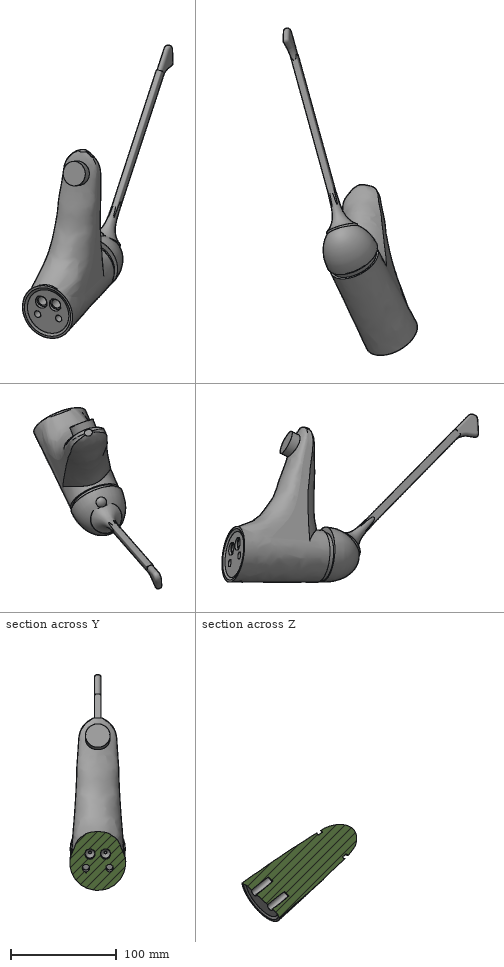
import cadquery as cq
import math


BASE_DIAMETER = 53.5
COLLAR_RADIUS = 25.0
COLLAR_Y = 89.0
COLLAR_Z = 11.7
HEAD_TILT = 3.5

NECK_RADIUS = 22.9
NECK_LENGTH = 7.5
NECK_OVERLAP = 2.5
CAP_CENTRE = (0, 93.7, 14.2)
CAP_RADIUS = 26.2
CAP_LENGTH = 35.0

BUTTON_RADIUS = 5.5
BUTTON_Y = 104.9
BUTTON_TOP = 42.0

LEVER_ORIGIN = (0, 140.2, 53.3)
LEVER_ANGLE = 49.0
LEVER_WIDTH = 7.5
LEVER_THICKNESS = 6.3
LEVER_START = -15.2
LEVER_ROUND = 1.0

HORN_ROOT = -48.2
HORN_FLARE = [(-33.3, 15.2), (-27.2, 9.1), (-19.8, 5.8), (-11.7, 4.5), (6.5, 3.3)]

PADDLE_START = 134.5
PADDLE_TIP = 175.2
PADDLE_HEEL = (153.0, -17.8)
PADDLE_THROAT = (139.7, -5.3)
PADDLE_SOLE = (145.0, -8.6)
PADDLE_TIP_ROUND = 5.5
PADDLE_HEEL_ROUND = 3.3
PADDLE_RIM_ROUND = 2.8

SPOUT_SECTIONS = [
    (10.2, -15.2, 28.0, 68.3, 86.3, 25.1),
    (25.5, -1.5, 39.9, 68.0, 85.8, 23.9),
    (38.0, 21.8, 49.5, 67.8, 84.3, 22.9),
    (50.8, 32.8, 55.4, 67.8, 82.5, 21.8),
    (63.5, 41.1, 58.7, 68.0, 82.3, 21.0),
    (81.3, 48.2, 61.7, 70.0, 82.5, 20.0),
    (101.5, 55.9, 65.0, 72.5, 82.5, 19.0),
    (119.3, 61.7, 68.5, 74.6, 82.0, 18.0),
    (128.2, 64.7, 70.0, 74.6, 81.5, 15.5),
    (135.0, 67.3, 71.3, 74.5, 79.2, 9.6),
    (138.6, 69.3, 72.0, 73.6, 76.2, 3.8),
]

REAR_SHOULDER_WIDTH = 0.6
REAR_SHOULDER_DEPTH = 0.65

OUTLET_CENTRE = (0, 54.8, 122.0)
OUTLET_RADIUS = 11.7
OUTLET_LENGTH = 12.7
OUTLET_TILT = 18.5

RECESS_RADIUS = 24.6
RECESS_FLOOR_RADIUS = 22.0
RECESS_DEPTH = 1.3
PORT_X = 7.4
PORT_Z = 8.0
PORT_RADIUS = 6.0
PORT_STEP_DEPTH = 3.8
PORT_BORE_RADIUS = 4.5
PORT_BORE_DEPTH = 16.5
PORT_TIP_RADIUS = 1.3
PORT_TIP_DEPTH = 22.9
STUD_X = 11.2
STUD_Z = -5.0
STUD_RADIUS = 3.3
STUD_DEPTH = 22.9

BODY_TILT = math.degrees(math.atan2(COLLAR_Z, COLLAR_Y))


def direction_at(degrees):
    """Unit vector in the plane x = 0, turned from +Y toward +Z."""
    angle = math.radians(degrees)
    return cq.Vector(0, math.cos(angle), math.sin(angle))


def cross_plane(origin, degrees):
    """Plane square to a direction that rises from +Y."""
    return cq.Plane(origin=origin, xDir=(1, 0, 0), normal=direction_at(degrees))


def side_plane(origin, degrees):
    """Plane x = const whose first axis rises from +Y and whose second axis points to the upper side."""
    return cq.Plane(origin=origin, xDir=direction_at(degrees), normal=(1, 0, 0))


LEVER_PLANE = side_plane(LEVER_ORIGIN, LEVER_ANGLE)


def make_body():
    base = cq.Wire.makeCircle(BASE_DIAMETER / 2, cq.Vector(0, 0, 0), direction_at(0))
    collar = cq.Wire.makeCircle(
        COLLAR_RADIUS, cq.Vector(0, COLLAR_Y, COLLAR_Z), direction_at(HEAD_TILT)
    )
    return cq.Workplane(cq.Solid.makeLoft([base, collar], True))


def make_neck():
    plane = cross_plane((0, COLLAR_Y, COLLAR_Z), HEAD_TILT)
    return (
        cq.Workplane(plane)
        .workplane(offset=-NECK_OVERLAP)
        .circle(NECK_RADIUS)
        .extrude(NECK_LENGTH + NECK_OVERLAP)
    )


def make_cap():
    """Half of an ellipsoid, flat toward the neck."""
    return (
        cq.Workplane(side_plane(CAP_CENTRE, HEAD_TILT))
        .ellipseArc(CAP_LENGTH, CAP_RADIUS, 0, 90, startAtCurrent=False)
        .lineTo(0, 0)
        .close()
        .revolve(360, (0, 0), (1, 0))
    )


def make_button():
    centre = (0, BUTTON_Y, BUTTON_TOP - BUTTON_RADIUS)
    return cq.Workplane("XY").sphere(BUTTON_RADIUS).translate(centre)


def make_horn():
    root_radius = HORN_FLARE[0][1]
    tip = HORN_FLARE[-1][0]
    return (
        cq.Workplane(LEVER_PLANE)
        .moveTo(HORN_ROOT, 0)
        .lineTo(HORN_ROOT, root_radius)
        .lineTo(*HORN_FLARE[0])
        .spline(HORN_FLARE[1:], includeCurrent=True)
        .lineTo(tip, 0)
        .close()
        .revolve(360, (0, 0), (1, 0))
    )


def make_lever():
    overlap = 5.0
    length = PADDLE_START + overlap - LEVER_START
    along_lever = cq.selectors.ParallelDirSelector(direction_at(LEVER_ANGLE))
    return (
        cq.Workplane(LEVER_PLANE)
        .center(LEVER_START + length / 2, 0)
        .rect(length, LEVER_WIDTH)
        .extrude(LEVER_THICKNESS / 2, both=True)
        .edges(along_lever)
        .fillet(LEVER_ROUND)
    )


def round_corner(solid, corner, radius):
    """Round the edge along X nearest to a point given in the lever's plane."""
    target = LEVER_PLANE.toWorldCoords((*corner, 0)).toTuple()
    nearest = cq.selectors.NearestToPointSelector(target)
    return solid.edges("|X").edges(nearest).fillet(radius)


def make_paddle():
    edge = LEVER_WIDTH / 2
    tip = (PADDLE_TIP, edge)
    blank = (
        cq.Workplane(LEVER_PLANE)
        .moveTo(PADDLE_START, edge)
        .lineTo(*tip)
        .lineTo(*PADDLE_HEEL)
        .lineTo(*PADDLE_SOLE)
        .threePointArc(PADDLE_THROAT, (PADDLE_START, -edge))
        .close()
        .extrude(LEVER_THICKNESS / 2, both=True)
    )
    paddle = round_corner(blank, tip, PADDLE_TIP_ROUND)
    paddle = round_corner(paddle, PADDLE_HEEL, PADDLE_HEEL_ROUND)
    return paddle.faces("<X or >X").edges().fillet(PADDLE_RIM_ROUND)


def front_edge(half_width, depth, y, z):
    """Level half-ellipse bulging toward -Y."""
    return cq.Edge.makeEllipse(
        half_width, depth, cq.Vector(0, y, z), cq.Vector(0, 0, 1), cq.Vector(1, 0, 0), 180, 360
    )


def rear_edge(half_width, depth, y, z):
    """Level curve toward +Y, slimmer at the shoulders than an ellipse."""
    shoulder_x = REAR_SHOULDER_WIDTH * half_width
    shoulder_y = y + REAR_SHOULDER_DEPTH * depth
    return cq.Edge.makeSpline(
        [
            cq.Vector(half_width, y, z),
            cq.Vector(shoulder_x, shoulder_y, z),
            cq.Vector(0, y + depth, z),
            cq.Vector(-shoulder_x, shoulder_y, z),
            cq.Vector(-half_width, y, z),
        ]
    )


def spout_section(height, front, flank_start, flank_end, rear, half_width):
    """Oval with rounded front and rear joined by straight flanks."""
    left, right = [
        cq.Edge.makeLine(cq.Vector(x, flank_start, height), cq.Vector(x, flank_end, height))
        for x in (-half_width, half_width)
    ]
    rear_curve = rear_edge(half_width, rear - flank_end, flank_end, height)
    front_curve = front_edge(half_width, flank_start - front, flank_start, height)
    return cq.Wire.assembleEdges([right, rear_curve, left, front_curve])


def make_spout():
    """Spout blended through its sections and trimmed flush with the mounting face."""
    spout = cq.Solid.makeLoft([spout_section(*sizes) for sizes in SPOUT_SECTIONS])
    trim_size = 152.3
    trim = cq.Workplane("XY").box(trim_size, trim_size, trim_size)
    trim = trim.translate((0, -trim_size / 2, 0))
    return cq.Workplane(spout).cut(trim)


def make_outlet():
    plane = cross_plane(OUTLET_CENTRE, -OUTLET_TILT)
    return cq.Workplane(plane).circle(OUTLET_RADIUS).extrude(OUTLET_LENGTH)


def make_recess():
    return cq.Workplane(
        cq.Solid.makeCone(
            RECESS_RADIUS, RECESS_FLOOR_RADIUS, RECESS_DEPTH, cq.Vector(0, 0, 0), direction_at(0)
        )
    )


def turned_hole(x, z, profile):
    """Round hole along the body's lean, from (depth, radius) steps that start at its mouth."""
    outside = -2.5
    mouth_radius = profile[0][1]
    end_depth = profile[-1][0]
    outline = [(outside, 0), (outside, mouth_radius), *profile, (end_depth, 0)]
    return (
        cq.Workplane(side_plane((x, 0, z), BODY_TILT))
        .polyline(outline)
        .close()
        .revolve(360, (0, 0), (1, 0))
    )


def make_port(x):
    profile = [
        (PORT_STEP_DEPTH, PORT_RADIUS),
        (PORT_STEP_DEPTH, PORT_BORE_RADIUS),
        (PORT_BORE_DEPTH, PORT_BORE_RADIUS),
        (PORT_TIP_DEPTH, PORT_TIP_RADIUS),
    ]
    return turned_hole(x, PORT_Z, profile)


def make_stud_hole(x):
    return turned_hole(x, STUD_Z, [(STUD_DEPTH, STUD_RADIUS)])


result = make_body()
for make_piece in (
    make_neck,
    make_cap,
    make_button,
    make_horn,
    make_lever,
    make_paddle,
    make_spout,
    make_outlet,
):
    result = result.union(make_piece())

result = result.cut(make_recess())
for side in (-1, 1):
    result = result.cut(make_port(side * PORT_X))
    result = result.cut(make_stud_hole(side * STUD_X))